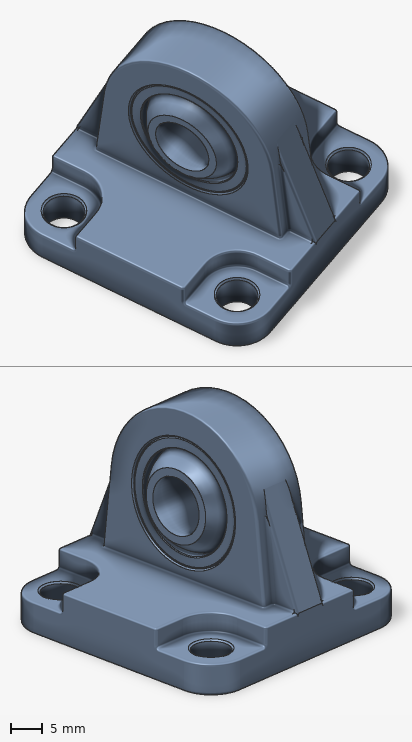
import cadquery as cq
import math

BASE_SIDE = 45.0
BASE_HEIGHT = 9.0
HOLE_PITCH = 32.5
HOLE_DIAMETER = 6.6
HOLE_CHAMFER = 0.3
SEAT_HEIGHT = 5.5
SEAT_RADIUS = 6.0

BEARING_HEIGHT = 22.0
LUG_RADIUS = 16.0
LUG_THICKNESS = 10.5
LUG_FOOT_WIDTH = 35.0

RIB_THICKNESS = 6.0

RING_DIAMETER = 22.0
RING_WIDTH = 10.0
RING_OPENING = 18.0
OPENING_CHAMFER = 0.15
GROOVE_CHAMFER = 0.25
BALL_DIAMETER = 19.0
BALL_WIDTH = 14.0
BORE_DIAMETER = 10.0

EDGE_RADIUS = 0.5

HALF_SIDE = BASE_SIDE / 2
HALF_LUG = LUG_THICKNESS / 2
HALF_RING = RING_WIDTH / 2
HALF_RIB = RIB_THICKNESS / 2
HOLE_OFFSET = HOLE_PITCH / 2
CORNER_RADIUS = HALF_SIDE - HOLE_OFFSET
TOTAL_HEIGHT = BEARING_HEIGHT + LUG_RADIUS
SIGNS = (-1, 1)
TOLERANCE = 0.01


def near(value, target):
    return abs(value - target) < TOLERANCE


def tangent_angle(foot_x):
    """Angle about the bearing axis where a line from (foot_x, BASE_HEIGHT) touches the lug round."""
    drop = BASE_HEIGHT - BEARING_HEIGHT
    return math.atan2(drop, foot_x) + math.acos(LUG_RADIUS / math.hypot(foot_x, drop))


def point_on_round(radius, angle):
    return radius * math.cos(angle), BEARING_HEIGHT + radius * math.sin(angle)


def make_corner_seat(sign_x, sign_y):
    """Cutter for one corner seat, with a rounded wall foot; it overruns both outer sides."""
    overrun = 2 * CORNER_RADIUS
    size = overrun + SEAT_RADIUS
    centre_shift = size / 2 - SEAT_RADIUS
    block = (
        cq.Workplane("XY", origin=(HOLE_OFFSET + centre_shift, HOLE_OFFSET + centre_shift, SEAT_HEIGHT))
        .rect(size, size)
        .extrude(BASE_HEIGHT)
        .edges("|Z and <X and <Y")
        .fillet(SEAT_RADIUS)
        .faces("<Z")
        .edges()
        .fillet(EDGE_RADIUS)
    )
    if sign_x < 0:
        block = block.mirror("YZ")
    if sign_y < 0:
        block = block.mirror("XZ")
    return block


def is_exposed_plate_edge(edge):
    """True for the plate's top edges and for the seat edges that lie on its outer sides."""
    box = edge.BoundingBox()
    if box.zmin > BASE_HEIGHT - TOLERANCE:
        return True
    if box.zmin < SEAT_HEIGHT - TOLERANCE:
        return False
    middle = edge.positionAt(0.5)
    x = abs(middle.x)
    y = abs(middle.y)
    on_side = near(max(x, y), HALF_SIDE)
    beyond_hole = min(x, y) > HOLE_OFFSET
    on_corner = beyond_hole and near(math.hypot(x - HOLE_OFFSET, y - HOLE_OFFSET), CORNER_RADIUS)
    return on_side or on_corner


def make_base():
    base = (
        cq.Workplane("XY")
        .rect(BASE_SIDE, BASE_SIDE)
        .extrude(BASE_HEIGHT)
        .edges("|Z")
        .fillet(CORNER_RADIUS)
    )
    for sign_x in SIGNS:
        for sign_y in SIGNS:
            base = base.cut(make_corner_seat(sign_x, sign_y))
    base = base.edges().filter(is_exposed_plate_edge).fillet(EDGE_RADIUS)
    return base.faces("<Z").edges().fillet(EDGE_RADIUS)


def drill_mounting_holes(base):
    drilled = (
        base.faces("<Z")
        .workplane(centerOption="CenterOfBoundBox")
        .rect(HOLE_PITCH, HOLE_PITCH, forConstruction=True)
        .vertices()
        .hole(HOLE_DIAMETER)
    )
    rims = drilled.edges("%CIRCLE").filter(
        lambda edge: near(edge.radius(), HOLE_DIAMETER / 2) and near(edge.Center().z, SEAT_HEIGHT)
    )
    return rims.chamfer(HOLE_CHAMFER)


def make_lug():
    foot_x = LUG_FOOT_WIDTH / 2
    side_x, side_z = point_on_round(LUG_RADIUS, tangent_angle(foot_x))
    lug = (
        cq.Workplane("XZ")
        .moveTo(-foot_x, BASE_HEIGHT)
        .lineTo(-side_x, side_z)
        .threePointArc((0, TOTAL_HEIGHT), (side_x, side_z))
        .lineTo(foot_x, BASE_HEIGHT)
        .close()
        .extrude(HALF_LUG, both=True)
    )
    rim = lug.edges().filter(
        lambda edge: near(abs(edge.Center().y), HALF_LUG) and edge.Center().z > BASE_HEIGHT + TOLERANCE
    )
    return rim.fillet(EDGE_RADIUS)


def make_rib_slab(inset, half_thickness):
    """Slab under the two lines from the plate's sides to the lug round, moved inward by inset.

    Its foot is sunk into the plate by one edge radius, so that it fills the rounded top edge.
    """
    angle = tangent_angle(HALF_SIDE)
    foot_x = HALF_SIDE - inset / math.cos(angle)
    foot_z = BASE_HEIGHT - EDGE_RADIUS
    top_x, top_z = point_on_round(LUG_RADIUS - inset, angle)
    return (
        cq.Workplane("XZ")
        .moveTo(-foot_x, foot_z)
        .lineTo(-foot_x, BASE_HEIGHT)
        .lineTo(-top_x, top_z)
        .lineTo(top_x, top_z)
        .lineTo(foot_x, BASE_HEIGHT)
        .lineTo(foot_x, foot_z)
        .close()
        .extrude(half_thickness, both=True)
    )


def make_ribs():
    """Both side ribs in one slab through the lug, with their sloping edges rounded."""
    ribs = make_rib_slab(0, HALF_RIB)
    sloping_edges = ribs.edges().filter(
        lambda edge: near(abs(edge.Center().y), HALF_RIB)
        and abs(edge.Center().x) > TOLERANCE
        and edge.Center().z > BASE_HEIGHT + TOLERANCE
    )
    return sloping_edges.fillet(EDGE_RADIUS)


def is_root_edge(edge):
    """True where the lug or an oversized rib meets the plate, or where that rib meets the lug."""
    box = edge.BoundingBox()
    y = abs(edge.Center().y)
    on_plate = near(box.zmin, BASE_HEIGHT) and near(box.zmax, BASE_HEIGHT) and y < HALF_LUG + TOLERANCE
    on_lug = (
        near(y, HALF_RIB)
        and box.zmin > BASE_HEIGHT - TOLERANCE
        and TOLERANCE + BASE_HEIGHT < box.zmax < TOTAL_HEIGHT
        and abs(edge.Center().x) < LUG_FOOT_WIDTH / 2 + TOLERANCE
    )
    return on_plate or on_lug


def make_roots(lug):
    """Root fillets of the lug and ribs.

    They are rolled around a rib and plate that run past the part, then trimmed to
    where the real ribs have flat sides.
    """
    overrun_length = 2 * BASE_SIDE
    overrun_rib = (
        cq.Workplane("XY")
        .rect(overrun_length, RIB_THICKNESS)
        .extrude(2 * TOTAL_HEIGHT)
    )
    overrun_plate = cq.Workplane("XY").rect(overrun_length, BASE_SIDE).extrude(BASE_HEIGHT)
    rounded = (
        overrun_plate.union(lug)
        .union(overrun_rib)
        .edges()
        .filter(is_root_edge)
        .fillet(EDGE_RADIUS)
    )
    return rounded.intersect(make_rib_slab(EDGE_RADIUS, HALF_LUG + 2 * EDGE_RADIUS))


def bearing_plane():
    """XZ workplane centred on the bearing, for shapes symmetrical about Y = 0."""
    return cq.Workplane("XZ", origin=(0, 0, BEARING_HEIGHT))


def make_ring_relief(side):
    """Cutter that recesses one ring face and chamfers the housing, the ring and its opening."""
    ring_radius = RING_DIAMETER / 2
    opening_radius = RING_OPENING / 2
    lug_y = side * HALF_LUG
    ring_y = side * HALF_RING
    return (
        cq.Workplane("XY", origin=(0, 0, BEARING_HEIGHT))
        .moveTo(0, lug_y)
        .lineTo(ring_radius + GROOVE_CHAMFER, lug_y)
        .lineTo(ring_radius, lug_y - side * GROOVE_CHAMFER)
        .lineTo(ring_radius, ring_y - side * GROOVE_CHAMFER)
        .lineTo(ring_radius - GROOVE_CHAMFER, ring_y)
        .lineTo(opening_radius + OPENING_CHAMFER, ring_y)
        .lineTo(opening_radius, ring_y - side * OPENING_CHAMFER)
        .lineTo(0, ring_y - side * OPENING_CHAMFER)
        .close()
        .revolve(360, (0, 0, 0), (0, 1, 0))
    )


def make_ball():
    """Ball cut to two flat faces."""
    envelope = bearing_plane().circle(BALL_DIAMETER).extrude(BALL_WIDTH / 2, both=True)
    sphere = cq.Workplane("XY", origin=(0, 0, BEARING_HEIGHT)).sphere(BALL_DIAMETER / 2)
    return envelope.intersect(sphere)


def fit_bearing(body):
    """Open the lug for the ball, relieve the ring faces, then add and bore the ball."""
    opening = bearing_plane().circle(RING_OPENING / 2).extrude(HALF_LUG, both=True)
    bore = bearing_plane().circle(BORE_DIAMETER / 2).extrude(BALL_WIDTH / 2, both=True)
    body = body.cut(opening)
    for side in SIGNS:
        body = body.cut(make_ring_relief(side))
    return body.union(make_ball()).cut(bore)


plate = drill_mounting_holes(make_base())
upright_lug = make_lug()
casting = plate.union(upright_lug).union(make_ribs()).union(make_roots(upright_lug))
result = fit_bearing(casting)